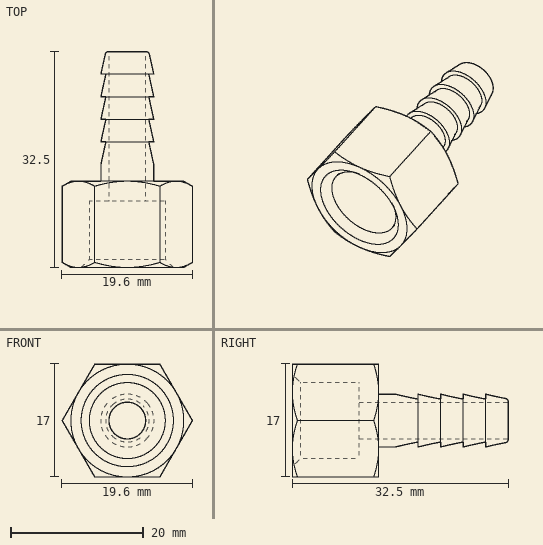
import cadquery as cq
import math

hex_sides = 6
across_flats = 17.0
hex_length = 13.0
corner_chamfer_angle = 30.0

socket_diameter = 11.45
lead_in_diameter = 13.9
lead_in_depth = (lead_in_diameter - socket_diameter) / 2
socket_depth = 10.0
bore_diameter = 5.5

barb_diameter = 8.0
barb_root_diameter = 6.5
neck_length = 2.5
barb_count = 5
barb_pitch = 3.4
tip_fillet = 0.5

across_corners = across_flats / math.cos(math.pi / hex_sides)
barbs_start = hex_length + neck_length
total_length = barbs_start + barb_count * barb_pitch


def make_hexagon():
    """Hexagon with two corners on the X axis and both ends chamfered by cones."""
    prism = (
        cq.Workplane("XZ")
        .polygon(hex_sides, across_corners)
        .extrude(-hex_length)
    )
    flat_radius = across_flats / 2
    corner_radius = across_corners / 2
    chamfer_length = (corner_radius - flat_radius) * math.tan(math.radians(corner_chamfer_angle))
    envelope = (
        cq.Workplane("XY")
        .lineTo(flat_radius, 0)
        .lineTo(corner_radius, chamfer_length)
        .lineTo(corner_radius, hex_length - chamfer_length)
        .lineTo(flat_radius, hex_length)
        .lineTo(0, hex_length)
        .close()
        .revolve(360, (0, 0, 0), (0, 1, 0))
    )
    return prism.intersect(envelope)


def make_hose_tail():
    """Neck and barbs revolved about Y, with a rounded tip."""
    barb_radius = barb_diameter / 2
    root_radius = barb_root_diameter / 2
    profile = (
        cq.Workplane("XY")
        .moveTo(0, hex_length)
        .lineTo(barb_radius, hex_length)
    )
    for index in range(barb_count):
        barb_start = barbs_start + index * barb_pitch
        profile = profile.lineTo(barb_radius, barb_start)
        profile = profile.lineTo(root_radius, barb_start + barb_pitch)
    tail = (
        profile
        .lineTo(0, total_length)
        .close()
        .revolve(360, (0, 0, 0), (0, 1, 0))
    )
    return tail.faces(">Y").edges().fillet(tip_fillet)


def make_passage():
    """Stepped hole through the whole fitting: lead-in cone, socket, bore."""
    lead_in_radius = lead_in_diameter / 2
    socket_radius = socket_diameter / 2
    bore_radius = bore_diameter / 2
    return (
        cq.Workplane("XY")
        .lineTo(lead_in_radius, 0)
        .lineTo(socket_radius, lead_in_depth)
        .lineTo(socket_radius, socket_depth)
        .lineTo(bore_radius, socket_depth)
        .lineTo(bore_radius, total_length)
        .lineTo(0, total_length)
        .close()
        .revolve(360, (0, 0, 0), (0, 1, 0))
    )


result = make_hexagon().union(make_hose_tail()).cut(make_passage())